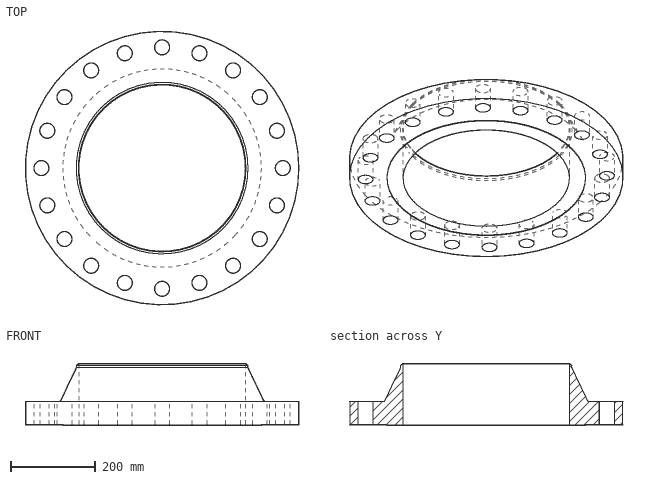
import cadquery as cq
import math

flange_diameter = 647.7
flange_thickness = 55.6
raised_face_diameter = 469.9
raised_face_height = 1.6

overall_height = 146.11
hub_diameter = 482.6
hub_fillet_radius = 3.0
weld_diameter = 406.4
weld_band_height = 5.5
bore_diameter = 393.7
weld_land = 1.6
bevel_angle = math.radians(37.5)

bolt_count = 20
bolt_circle_diameter = 571.5
bolt_hole_diameter = 34.9

flange_top = raised_face_height + flange_thickness
weld_radius = weld_diameter / 2
bore_radius = bore_diameter / 2
land_radius = bore_radius + weld_land
bevel_bottom = overall_height - (weld_radius - land_radius) * math.tan(bevel_angle)
cone_top = bevel_bottom - weld_band_height


def flange_body():
    """Flange plate, raised face and tapered neck turned about the Z axis."""
    profile = (
        cq.Workplane("XZ")
        .moveTo(bore_radius, 0)
        .lineTo(raised_face_diameter / 2, 0)
        .lineTo(raised_face_diameter / 2, raised_face_height)
        .lineTo(flange_diameter / 2, raised_face_height)
        .lineTo(flange_diameter / 2, flange_top)
        .lineTo(hub_diameter / 2, flange_top)
        .lineTo(weld_radius, cone_top)
        .lineTo(weld_radius, bevel_bottom)
        .lineTo(land_radius, overall_height)
        .lineTo(bore_radius, overall_height)
        .close()
    )
    body = profile.revolve(360, (0, 0, 0), (0, 1, 0))
    second_largest_edge = cq.selectors.RadiusNthSelector(-2)
    return body.edges(second_largest_edge).fillet(hub_fillet_radius)


def bolt_holes():
    """Through holes spaced evenly on the bolt circle, the first one on +X."""
    return (
        cq.Workplane("XY")
        .polarArray(bolt_circle_diameter / 2, 0, 360, bolt_count)
        .circle(bolt_hole_diameter / 2)
        .extrude(overall_height)
    )


result = flange_body().cut(bolt_holes())